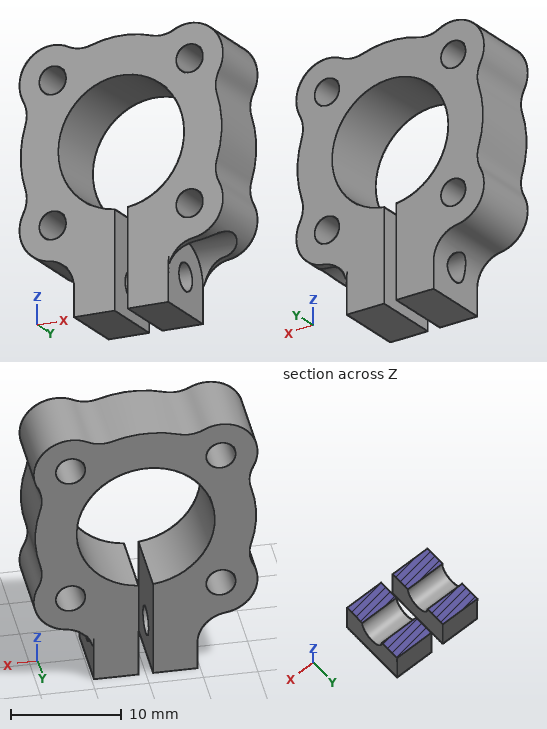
import cadquery as cq
import math

thickness = 6.985
bore_radius = 6.35
rim_radius = 10.16
hole_offset = 6.914
hole_diameter = 2.7
lobe_radius = 3.371
rim_blend_radius = 3.0
foot_half_width = 4.7625
foot_bottom = -16.0
foot_blend_radius = 2.94
slot_width = 1.33
clamp_hole_diameter = 2.7
clamp_hole_height = 3.43
spotface_diameter = 7.0

lobe_center = (hole_offset, hole_offset)


def point_toward(start, end, distance):
    """Point at the given distance from start along the line to end."""
    ratio = distance / math.dist(start, end)
    return (start[0] + (end[0] - start[0]) * ratio, start[1] + (end[1] - start[1]) * ratio)


def middle_of_arc(center, radius, start, end):
    """Middle point of the shorter arc from start to end."""
    chord_middle = ((start[0] + end[0]) / 2, (start[1] + end[1]) / 2)
    return point_toward(center, chord_middle, radius)


def rim_blend_points():
    """Rim end, middle and lobe end of the blend beside the upper right lobe, on its top side."""
    lobe_distance = math.hypot(*lobe_center)
    to_rim = rim_radius + rim_blend_radius
    to_lobe = lobe_radius + rim_blend_radius
    cosine = (lobe_distance**2 + to_rim**2 - to_lobe**2) / (2 * lobe_distance * to_rim)
    angle = math.radians(45) + math.acos(cosine)
    center = (to_rim * math.cos(angle), to_rim * math.sin(angle))
    rim_end = point_toward((0, 0), center, rim_radius)
    lobe_end = point_toward(lobe_center, center, lobe_radius)
    return rim_end, middle_of_arc(center, rim_blend_radius, rim_end, lobe_end), lobe_end


def foot_blend_points():
    """Lobe end, middle and foot end of the blend between the lower right lobe and the foot."""
    lower_lobe = (hole_offset, -hole_offset)
    center_x = foot_half_width + foot_blend_radius
    drop = math.sqrt((lobe_radius + foot_blend_radius)**2 - (center_x - hole_offset)**2)
    center = (center_x, -hole_offset - drop)
    lobe_end = point_toward(lower_lobe, center, lobe_radius)
    foot_end = (foot_half_width, center[1])
    return lobe_end, middle_of_arc(center, foot_blend_radius, lobe_end, foot_end), foot_end


def mirror_x(point):
    return (-point[0], point[1])


def mirror_z(point):
    return (point[0], -point[1])


def swap(point):
    return (point[1], point[0])


def make_body():
    """Lobed plate with its clamping foot, centred on the XZ plane."""
    rim_end, blend_middle, lobe_end = rim_blend_points()
    foot_lobe_end, foot_blend_middle, foot_end = foot_blend_points()
    lobe_tip = point_toward((0, 0), lobe_center, math.hypot(*lobe_center) + lobe_radius)

    right_arcs = [
        (blend_middle, lobe_end),
        (lobe_tip, swap(lobe_end)),
        (swap(blend_middle), swap(rim_end)),
        ((rim_radius, 0), mirror_z(swap(rim_end))),
        (mirror_z(swap(blend_middle)), mirror_z(swap(lobe_end))),
        (mirror_z(lobe_tip), foot_lobe_end),
        (foot_blend_middle, foot_end),
    ]
    outline = cq.Workplane("XZ").moveTo(*mirror_x(rim_end)).threePointArc((0, rim_radius), rim_end)
    for through, end in right_arcs:
        outline = outline.threePointArc(through, end)
    outline = outline.lineTo(foot_half_width, foot_bottom).lineTo(-foot_half_width, foot_bottom)
    outline = outline.lineTo(*mirror_x(foot_end))

    starts = [rim_end] + [end for _, end in right_arcs[:-1]]
    for start, (through, _) in zip(reversed(starts), reversed(right_arcs)):
        outline = outline.threePointArc(mirror_x(through), mirror_x(start))
    return outline.close().extrude(thickness / 2, both=True)


def make_bore():
    return cq.Workplane("XZ").circle(bore_radius).extrude(thickness, both=True)


def make_corner_holes():
    spacing = 2 * hole_offset
    holes = cq.Workplane("XZ").rect(spacing, spacing, forConstruction=True).vertices()
    return holes.circle(hole_diameter / 2).extrude(thickness, both=True)


def make_slot():
    """Slit from the bore axis down through the foot."""
    slit = cq.Workplane("XY").box(slot_width, 2 * thickness, abs(foot_bottom))
    return slit.translate((0, 0, foot_bottom / 2))


def clamp_cylinder(diameter, start_x, end_x):
    """Cylinder along the clamp screw axis between two X positions."""
    axis_start = (start_x, 0, foot_bottom + clamp_hole_height)
    return cq.Workplane("YZ", origin=axis_start).circle(diameter / 2).extrude(end_x - start_x)


def make_clamp_hole():
    """Clamp screw hole across both halves of the foot."""
    return clamp_cylinder(clamp_hole_diameter, -rim_radius, rim_radius)


def make_spotface():
    """Screw head clearance, cut through the blend and lobe down to the +X foot face."""
    return clamp_cylinder(spotface_diameter, foot_half_width, hole_offset + lobe_radius)


result = (
    make_body()
    .cut(make_bore())
    .cut(make_corner_holes())
    .cut(make_slot())
    .cut(make_clamp_hole())
    .cut(make_spotface())
)